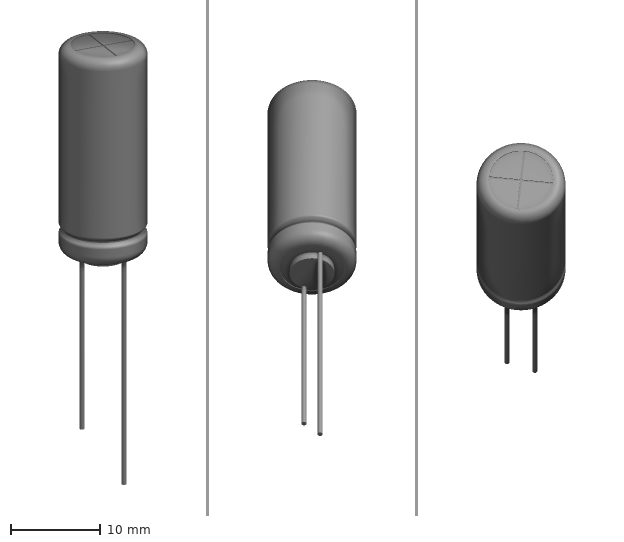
import cadquery as cq


total_height = 52.8
sleeve_bottom = 27.75
sleeve_diameter = 10.0
sleeve_thickness = 0.1
sleeve_opening_diameter = 7.25
top_edge_radius = 1.15
bottom_edge_radius = 1.25

groove_height = 30.75
groove_diameter = 9.0
groove_flat_half_width = 0.08
lip_diameter = 9.75
lip_inner_half_width = 0.4
lip_outer_half_width = 0.7

score_width = 0.2
score_depth = 0.1
score_angles = (45, 135)

plug_diameter = 5.0
plug_bottom = 27.0
lead_diameter = 0.6
lead_pitch = 4.95
long_lead_bottom = 0.0
short_lead_bottom = 6.0

can_top = total_height - sleeve_thickness
can_bottom = sleeve_bottom + sleeve_thickness
lip_drop = (sleeve_diameter - lip_diameter) / 2
lip_height = lip_outer_half_width - lip_inner_half_width
lip_radius = (lip_drop**2 + lip_height**2) / (2 * lip_drop)


def grooved_cylinder(inset):
    """Revolved solid with rounded ends and a crimp groove, set in from the sleeve outside."""
    radius = sleeve_diameter / 2 - inset
    lip = lip_diameter / 2 - inset
    groove = groove_diameter / 2 - inset
    bottom = sleeve_bottom + inset
    top = total_height - inset
    bottom_round = bottom_edge_radius - inset
    top_round = top_edge_radius - inset
    return (
        cq.Workplane("XZ")
        .moveTo(0, bottom)
        .lineTo(radius - bottom_round, bottom)
        .radiusArc((radius, bottom + bottom_round), -bottom_round)
        .lineTo(radius, groove_height - lip_outer_half_width)
        .radiusArc((lip, groove_height - lip_inner_half_width), -lip_radius)
        .lineTo(groove, groove_height - groove_flat_half_width)
        .lineTo(groove, groove_height + groove_flat_half_width)
        .lineTo(lip, groove_height + lip_inner_half_width)
        .radiusArc((radius, groove_height + lip_outer_half_width), -lip_radius)
        .lineTo(radius, top - top_round)
        .radiusArc((radius - top_round, top), -top_round)
        .lineTo(0, top)
        .close()
        .revolve(360, (0, 0, 0), (0, 1, 0))
    )


def cylinder(diameter, bottom, top, x=0.0):
    """Upright cylinder between two heights."""
    return (
        cq.Workplane("XY", origin=(x, 0, bottom))
        .circle(diameter / 2)
        .extrude(top - bottom)
    )


def make_sleeve():
    """Thin sleeve that wraps the can and is open in the middle of both ends."""
    openings = cylinder(sleeve_opening_diameter, sleeve_bottom, total_height)
    return grooved_cylinder(0).cut(grooved_cylinder(sleeve_thickness)).cut(openings)


def vent_score(angle):
    """Straight shallow cutter across the top of the can."""
    return (
        cq.Workplane("XY", origin=(0, 0, can_top - score_depth))
        .rect(sleeve_opening_diameter, score_width)
        .extrude(score_depth)
        .rotate((0, 0, 0), (0, 0, 1), angle)
    )


def make_can():
    """Can with a crossed vent on top, and its plug and two leads below."""
    can = grooved_cylinder(sleeve_thickness)
    for angle in score_angles:
        can = can.cut(vent_score(angle))
    can = can.union(cylinder(plug_diameter, plug_bottom, can_bottom))
    lead_x = lead_pitch / 2
    for x, bottom in ((-lead_x, short_lead_bottom), (lead_x, long_lead_bottom)):
        can = can.union(cylinder(lead_diameter, bottom, can_bottom, x))
    return can


sleeve = make_sleeve()
can = make_can()

result = cq.Compound.makeCompound([sleeve.solids().val(), can.solids().val()])